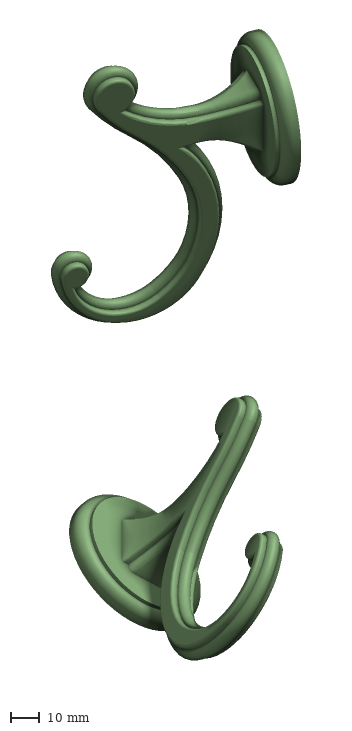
import cadquery as cq
import math


plate_radius = 27.5
plate_thickness = 8.0
lip_height = 1.5
plate_round = 4.0
lip_radius = plate_radius - plate_round

half_width = 5.0
bead_radius = 2.5
edge_fillet = 1.0

core_inset = 1.2
rim_depth = 1.5
corner_overrun = 2.5

neck_end = 29.0
neck_half_height = 5.0
flare_radius = 42.5
plate_overlap = 1.0
neck_start = plate_thickness - plate_overlap

top_scroll = (60.65, 22.77)
top_scroll_radius = 7.5
low_scroll = (75.09, -52.30)
low_scroll_radius = 5.0

brow_radius = 80.2
chest_radius = 73.4
inner_side_radius = 40.2
inner_turn_radius = 33.5
inner_bottom_radius = 20.4
scroll_to_brow = -35.9
brow_to_chest = -50.6
chest_to_side = 154.0
side_to_turn = 201.5
turn_to_bottom = 236.0

outer_bottom_radius = 27.5
back_radius = 48.0
shoulder_radius = 37.5
scroll_to_outer_bottom = -6.1
outer_bottom_to_back = -147.2
back_to_shoulder = -212.4

quarter_turn = 90
half_turn = 180
full_turn = 360
facing_up = 90
facing_down = 270
full_height = 400.0
tolerance = 0.01

SIDE = cq.Plane(origin=(0, 0, 0), xDir=(0, -1, 0), normal=(-1, 0, 0))
BELOW = cq.Plane(origin=(0, 0, 0), xDir=(0, -1, 0), normal=(0, 0, -1))


def polar(center, radius, angle):
    """Point at an angle in degrees on a circle."""
    turn = math.radians(angle)
    return (center[0] + radius * math.cos(turn), center[1] + radius * math.sin(turn))


def angle_of(center, point):
    """Direction from center to point, 0 to 360 degrees."""
    return math.degrees(math.atan2(point[1] - center[1], point[0] - center[0])) % full_turn


def crossing(center_a, radius_a, center_b, radius_b, side):
    """Crossing of two circles; side +1 is left of the line from a to b, -1 right."""
    gap = math.dist(center_a, center_b)
    along = (gap**2 + radius_a**2 - radius_b**2) / (2 * gap)
    spread = math.degrees(math.acos(along / radius_a))
    return polar(center_a, radius_a, angle_of(center_a, center_b) + side * spread)


def arc_start(arc):
    """First point of a (center, radius, begin angle, end angle) arc."""
    center, radius, begin, _ = arc
    return polar(center, radius, begin)


def arc_angle(length, radius):
    """Angle in degrees of an arc of the given length."""
    return math.degrees(length / radius)


def flare_sweep(radius):
    """Angle in degrees that a flare arc turns through on its way to the plate."""
    return math.degrees(math.asin((neck_end - neck_start) / radius))


def draw_arcs(sketch, arcs):
    """Append (center, radius, begin angle, end angle) arcs to a wire."""
    for center, radius, begin, end in arcs:
        middle = polar(center, radius, (begin + end) / 2)
        sketch = sketch.threePointArc(middle, polar(center, radius, end))
    return sketch


neck_top = (neck_end, neck_half_height + flare_radius)
neck_bottom = (neck_end, -neck_half_height - flare_radius)

brow = polar(top_scroll, top_scroll_radius - brow_radius, scroll_to_brow)
chest = polar(brow, brow_radius + chest_radius, brow_to_chest)
inner_side = polar(chest, chest_radius - inner_side_radius, chest_to_side)
inner_turn = polar(inner_side, inner_side_radius - inner_turn_radius, side_to_turn)
inner_bottom = polar(inner_turn, inner_turn_radius - inner_bottom_radius, turn_to_bottom)

outer_bottom = polar(low_scroll, low_scroll_radius - outer_bottom_radius, scroll_to_outer_bottom)
back = polar(outer_bottom, outer_bottom_radius - back_radius, outer_bottom_to_back)
shoulder = polar(back, back_radius - shoulder_radius, back_to_shoulder)


def arm_edges(growth, overrun):
    """Edge of the arm, offset outwards by growth, as five smooth runs of arcs.

    The edge has three hollow corners: under the top scroll, under the low
    scroll and where the arm leaves the neck. Runs pass these by the overrun.
    """
    top_r = top_scroll_radius + growth
    brow_r = brow_radius + growth
    low_r = low_scroll_radius + growth
    outer_r = outer_bottom_radius + growth
    back_r = back_radius + growth
    shoulder_r = shoulder_radius + growth
    flare_r = flare_radius - growth
    chest_r = chest_radius - growth
    side_r = inner_side_radius - growth
    turn_r = inner_turn_radius - growth
    inner_r = inner_bottom_radius - growth

    top_corner = crossing(neck_top, flare_r, top_scroll, top_r, -1)
    low_corner = crossing(inner_bottom, inner_r, low_scroll, low_r, -1)
    neck_corner = crossing(neck_bottom, flare_r, shoulder, shoulder_r, 1)

    neck_top_end = angle_of(neck_top, top_corner) + arc_angle(overrun, flare_r)
    top_begin = angle_of(top_scroll, top_corner) + arc_angle(overrun, top_r)
    inner_end = angle_of(inner_bottom, low_corner) + arc_angle(overrun, inner_r)
    low_begin = angle_of(low_scroll, low_corner) + arc_angle(overrun, low_r)
    shoulder_end = angle_of(shoulder, neck_corner) - full_turn - arc_angle(overrun, shoulder_r)
    neck_bottom_begin = angle_of(neck_bottom, neck_corner) - arc_angle(overrun, flare_r)

    neck_top_run = [(neck_top, flare_r, facing_down, neck_top_end)]
    front_run = [
        (top_scroll, top_r, top_begin, scroll_to_brow),
        (brow, brow_r, scroll_to_brow, brow_to_chest),
        (chest, chest_r, brow_to_chest + half_turn, chest_to_side),
        (inner_side, side_r, chest_to_side, side_to_turn),
        (inner_turn, turn_r, side_to_turn, turn_to_bottom),
        (inner_bottom, inner_r, turn_to_bottom, inner_end),
    ]
    low_scroll_run = [(low_scroll, low_r, low_begin, scroll_to_outer_bottom)]
    back_run = [
        (outer_bottom, outer_r, scroll_to_outer_bottom, outer_bottom_to_back),
        (back, back_r, outer_bottom_to_back, back_to_shoulder),
        (shoulder, shoulder_r, back_to_shoulder, shoulder_end),
    ]
    neck_bottom_run = [(neck_bottom, flare_r, neck_bottom_begin, facing_up)]
    return [neck_top_run, front_run, low_scroll_run, back_run, neck_bottom_run]


def make_plate():
    """Plate around the Y axis: rounded disc with a low lip in front."""
    disc_front = plate_thickness - lip_height
    disc = cq.Workplane("XZ").circle(plate_radius).extrude(disc_front)
    disc = disc.faces("<Y").edges().fillet(plate_round)
    lip = cq.Workplane("XZ").circle(lip_radius).extrude(plate_thickness)
    return disc.union(lip)


def round_side(body, side, radius):
    """Round the lengthwise edges at or beyond X = -side and keep the half at X < 0."""
    rounded_edges = []
    for edge in body.edges("not |Z").vals():
        if edge.Center().x < tolerance - side:
            rounded_edges.append(edge)
    body = body.newObject(rounded_edges).fillet(radius)
    half_space = cq.Workplane("YZ").rect(full_height, full_height).extrude(-plate_radius)
    return body.intersect(half_space)


def neck_blank(growth, side):
    """Neck that flares towards the plate above, below and on its -X side."""
    radius = flare_radius - growth
    flare = flare_sweep(radius)
    top = (neck_top, radius, facing_down - flare, facing_down)
    bottom = (neck_bottom, radius, facing_up, facing_up + flare)
    sketch = cq.Workplane(SIDE).moveTo(*arc_start(top))
    sketch = draw_arcs(sketch, [top]).lineTo(*arc_start(bottom))
    upright = draw_arcs(sketch, [bottom]).close().extrude(plate_radius, both=True)

    side_radius = flare_radius + half_width - side
    side_center = (neck_end, side + side_radius)
    side_flare = (side_center, side_radius, facing_down - flare_sweep(side_radius), facing_down)
    sketch = cq.Workplane(BELOW).moveTo(*arc_start(side_flare))
    sketch = draw_arcs(sketch, [side_flare]).lineTo(neck_end, -half_width).lineTo(neck_start, -half_width)
    return upright.intersect(sketch.close().extrude(plate_radius, both=True))


def make_neck():
    """Half of the neck: its flared body and the bead that spreads along with it."""
    flat = round_side(neck_blank(0, half_width), half_width, edge_fillet)
    bead = round_side(neck_blank(bead_radius, bead_radius), bead_radius, bead_radius)
    return flat.union(bead)


def make_rim(run):
    """Rim of the half arm along one smooth run: rounded side edge and half of the bead."""
    _, _, begin, end = run[0]
    start = arc_start(run[0])
    heading = begin + math.copysign(quarter_turn, end - begin)
    outward = heading + quarter_turn
    plane = cq.Plane(
        origin=SIDE.toWorldCoords(start).toTuple(),
        xDir=SIDE.toWorldCoords(polar((0, 0), 1, outward)).toTuple(),
        normal=SIDE.toWorldCoords(polar((0, 0), 1, heading)).toTuple(),
    )
    section = (
        cq.Workplane(plane)
        .moveTo(-rim_depth, 0)
        .lineTo(bead_radius, 0)
        .threePointArc(polar((0, 0), bead_radius, quarter_turn / 2), (0, bead_radius))
        .lineTo(0, half_width - edge_fillet)
        .threePointArc(
            polar((-edge_fillet, half_width - edge_fillet), edge_fillet, quarter_turn / 2),
            (-edge_fillet, half_width),
        )
        .lineTo(-rim_depth, half_width)
        .close()
    )
    return section.sweep(draw_arcs(cq.Workplane(SIDE).moveTo(*start), run))


def make_half_arm():
    """Half of the arm at X < 0, in front of the neck."""
    core_edge = []
    for run in arm_edges(-core_inset, 0):
        core_edge = core_edge + run
    sketch = cq.Workplane(SIDE).moveTo(*arc_start(core_edge[0]))
    half = draw_arcs(sketch, core_edge).close().extrude(half_width)
    for run in arm_edges(0, corner_overrun):
        half = half.union(make_rim(run))
    return half


def make_hook():
    """Neck and arm: one half, mirrored across the X = 0 plane."""
    half = make_neck().union(make_half_arm())
    return half.union(half.mirror("YZ"))


result = make_plate().union(make_hook())